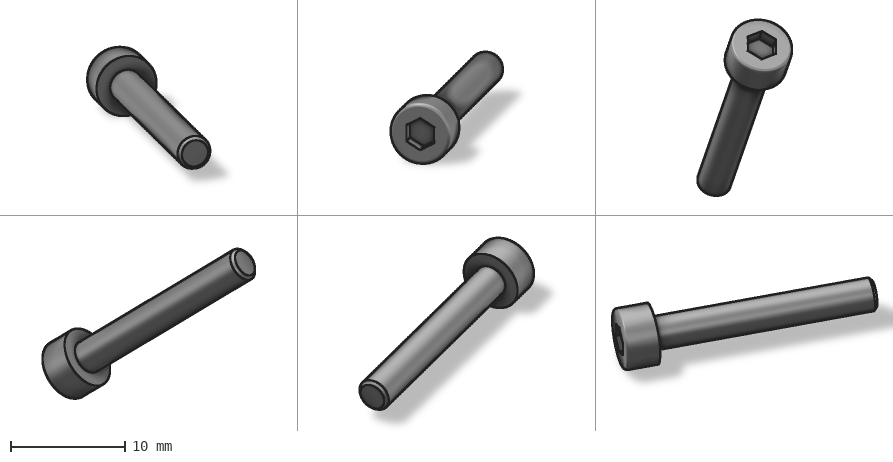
import cadquery as cq
import math

head_diameter = 5.5
head_height = 3.0
head_edge_radius = 0.3
shank_diameter = 3.0
shank_length = 20.0
tip_chamfer = 0.3
socket_across_flats = 2.5
socket_depth = 1.3

head_face_x = -head_height


def make_head():
    head = cq.Workplane("YZ", origin=(head_face_x, 0, 0)).circle(head_diameter / 2).extrude(head_height)
    return head.faces("<X").edges().fillet(head_edge_radius)


def make_shank():
    shank = cq.Workplane("YZ").circle(shank_diameter / 2).extrude(shank_length)
    return shank.faces(">X").edges().chamfer(tip_chamfer)


def make_socket():
    """Hexagonal key socket with two flats facing +Y and -Y and corners on the Z axis."""
    across_corners = socket_across_flats / math.cos(math.pi / 6)
    hexagon_plane = cq.Workplane("YZ", origin=(head_face_x, 0, 0)).transformed(rotate=(0, 0, 90))
    return hexagon_plane.polygon(6, across_corners).extrude(socket_depth)


result = make_head().union(make_shank()).cut(make_socket())